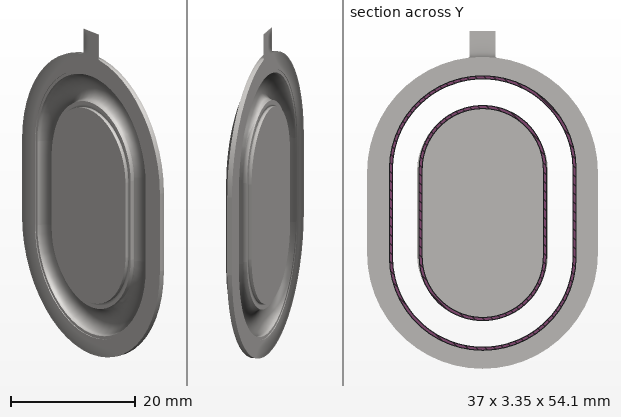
import cadquery as cq

total_height = 54.1
plate_half_width = 18.5
plate_half_straight = 6.5
plate_half_height = plate_half_width + plate_half_straight

sheet_thickness = 0.1
flange_thickness = 0.7
roll_height = 2.05
cap_projection = 0.5
membrane_front = sheet_thickness

window_half_width = 15.05
tab_width = 4.1
tab_root_fillet = 0.25
tab_top = total_height - plate_half_height

roll_half_width = 12.35
roll_half_straight = 7.05
channel_radius = 2.2
roll_outer_radius = flange_thickness + roll_height
land_half_width = 10.5
land_half_straight = 6.6

cap_half_width = 9.9
cap_half_straight = 6.3


def oval(half_width, half_straight, front, depth):
    """Upright oval slab reaching from Y = front to Y = front + depth."""
    length = 2 * (half_width + half_straight)
    return (
        cq.Workplane("XZ", origin=(0, front, 0))
        .slot2D(length, 2 * half_width, 90)
        .extrude(-depth)
    )


def half_round_loop(radius):
    """Half-round bar bent into an oval, flat on the membrane front and round toward +Y."""
    path = (
        cq.Workplane("XZ", origin=(0, membrane_front, 0))
        .moveTo(roll_half_width, -roll_half_straight)
        .lineTo(roll_half_width, roll_half_straight)
        .threePointArc((0, roll_half_straight + roll_half_width), (-roll_half_width, roll_half_straight))
        .lineTo(-roll_half_width, -roll_half_straight)
        .threePointArc((0, -roll_half_straight - roll_half_width), (roll_half_width, -roll_half_straight))
        .close()
    )
    return (
        cq.Workplane("XY", origin=(roll_half_width, membrane_front, -roll_half_straight))
        .moveTo(-radius, 0)
        .threePointArc((0, radius), (radius, 0))
        .close()
        .sweep(path)
    )


def make_sheet():
    """Thin sheet with an oval window and a tab rising from its upper end."""
    sheet = oval(plate_half_width, plate_half_straight, 0, sheet_thickness)
    tab = (
        cq.Workplane("XY")
        .box(tab_width, sheet_thickness, tab_top, centered=(True, False, False))
    )
    tab_root = cq.selectors.BoxSelector(
        (-tab_width, -sheet_thickness, plate_half_height - tab_width / 2),
        (tab_width, 2 * sheet_thickness, plate_half_height + tab_root_fillet),
    )
    sheet = sheet.union(tab).edges("|Y").edges(tab_root).fillet(tab_root_fillet)
    window = oval(window_half_width, roll_half_straight, 0, sheet_thickness)
    return sheet.cut(window)


def make_membrane():
    """Flat oval plate with a hollow roll bulging toward +Y and open at the front."""
    plate = oval(plate_half_width, plate_half_straight, membrane_front, flange_thickness)
    roll = half_round_loop(roll_outer_radius)
    channel = half_round_loop(channel_radius)
    land = oval(land_half_width, land_half_straight, membrane_front, flange_thickness)
    return plate.union(roll).cut(channel).union(land)


def make_cap():
    """Oval cap seated on the land inside the roll."""
    depth = cap_projection + sheet_thickness
    return oval(cap_half_width, cap_half_straight, -cap_projection, depth)


sheet = make_sheet()
membrane = make_membrane()
cap = make_cap()

result = cq.Compound.makeCompound([sheet.val(), membrane.val(), cap.val()])